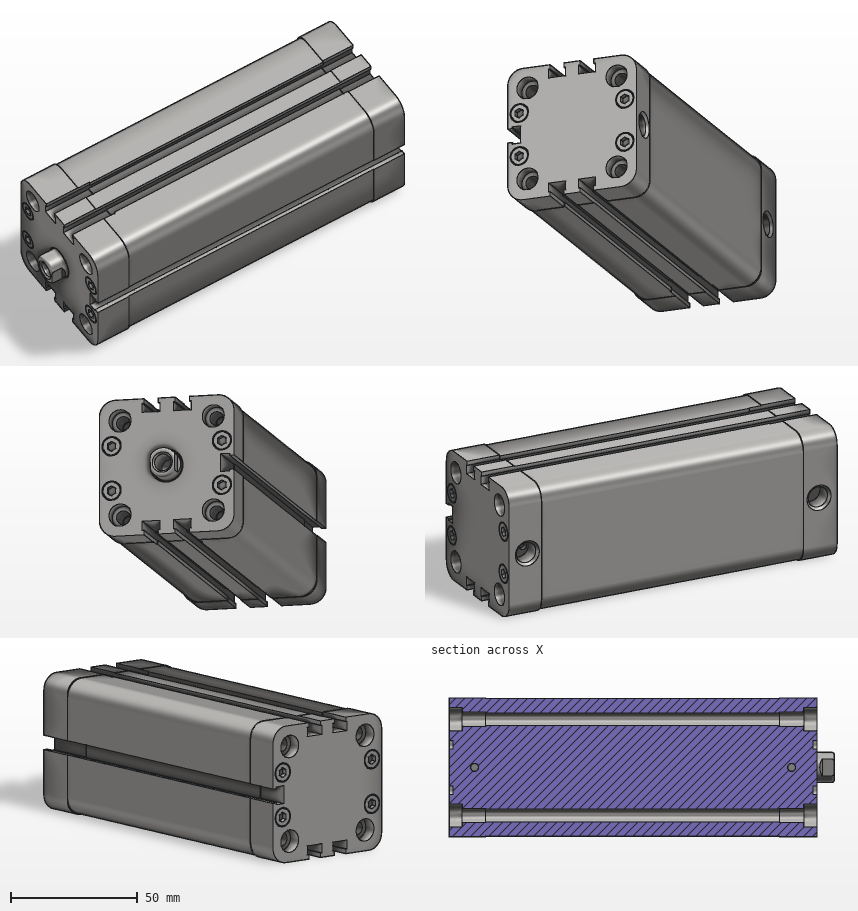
import cadquery as cq


SIDE = 54.9
TUBE_SIDE = 54.4
BODY_LENGTH = 145.2
FRONT_CAP_LENGTH = 14.9
REAR_CAP_LENGTH = 14.5
CAP_CORNER_RADIUS = 6.5
TUBE_CORNER_RADIUS = 7.0
TUBE_END = BODY_LENGTH - REAR_CAP_LENGTH

SLOT_OFFSET = 6.4
MOUTH_WIDTH = 5.8
UNDERCUT_WIDTH = 7.1
LIP_THICKNESS = 1.8
SLOT_DEPTH = 5.5
TUBE_SLOT_DEPTH = 5.0
TUBE_LIP_OVERHANG = 0.5
SLOT_ENTRY_LENGTH = 5.5
ENTRY_END = FRONT_CAP_LENGTH + SLOT_ENTRY_LENGTH

MOUNT_OFFSET = 19.0
MOUNT_BORE_DIAMETER = 9.0
MOUNT_BORE_DEPTH = 5.2
CAP_HOLE_DIAMETER = 5.5
TUBE_HOLE_DIAMETER = 4.9

SCREW_X = 22.5
SCREW_Z = 9.0
SCREW_RECESS_DIAMETER = 7.8
SCREW_HEAD_DIAMETER = 7.0
SCREW_GAP_DEPTH = 1.5
SOCKET_ACROSS_CORNERS = 4.0
SOCKET_DEPTH = 2.3

PORT_INSET = 8.0
PORT_DIAMETER = 8.5
PORT_CHAMFER = 1.0
PORT_DEPTH = 7.6
AIR_HOLE_DIAMETER = 3.0
AIR_HOLE_SHIFT = 2.0
AIR_HOLE_DEPTH = 2.3

ROD_DIAMETER = 12.0
ROD_LENGTH = 6.8
ROD_EDGE_RADIUS = 1.0
ROD_FLAT_WIDTH = 9.9
ROD_FLAT_LENGTH = 4.7
ROD_BORE_DIAMETER = 6.7
ROD_BORE_DEPTH = 12.2
ROD_BORE_CHAMFER = 0.8
DRILL_TIP_LENGTH = 2.0
GLAND_DIAMETER = 12.5
GLAND_CHAMFER = 0.5
GLAND_DEPTH = 1.5


def section(y):
    """Sketch plane across the rod axis at y, with local x = X, local y = Z and its normal along -Y."""
    return cq.Workplane(cq.Plane(origin=(0, y, 0), xDir=(1, 0, 0), normal=(0, -1, 0)))


def square_block(side, start, end, corner_radius):
    return section(start).rect(side, side).extrude(start - end).edges("|Y").fillet(corner_radius)


def cylinder(x, z, diameter, start, end):
    return section(start).center(x, z).circle(diameter / 2).extrude(start - end)


def slot_run(center, depth, start, end, outer_overhang=0):
    """T-slot in the +Z side; outer_overhang narrows the mouth on its side away from the middle."""
    top = SIDE / 2
    outward = 1 if center > 0 else -1
    mouth_center = center - outward * outer_overhang / 2
    mouth = (
        section(start)
        .center(mouth_center, top - depth / 2)
        .rect(MOUTH_WIDTH - outer_overhang, depth)
        .extrude(start - end)
    )
    undercut_height = depth - LIP_THICKNESS
    undercut = (
        section(start)
        .center(center, top - depth + undercut_height / 2)
        .rect(UNDERCUT_WIDTH, undercut_height)
        .extrude(start - end)
    )
    return mouth.union(undercut)


def sensor_slot(center, tube_overhang):
    """Full-length slot: wide through both caps and the entry, tighter along the tube."""
    entry = slot_run(center, SLOT_DEPTH, 0, ENTRY_END)
    tube = slot_run(center, TUBE_SLOT_DEPTH, ENTRY_END, TUBE_END, tube_overhang)
    exit_run = slot_run(center, SLOT_DEPTH, TUBE_END, BODY_LENGTH)
    return entry.union(tube).union(exit_run)


def mounting_hole(x, z):
    """Through hole, counterbored at both ends."""
    hole = cylinder(x, z, TUBE_HOLE_DIAMETER, 0, BODY_LENGTH)
    for face, inward, cap_length in ((0, 1, FRONT_CAP_LENGTH), (BODY_LENGTH, -1, REAR_CAP_LENGTH)):
        hole = hole.union(cylinder(x, z, CAP_HOLE_DIAMETER, face, face + inward * cap_length))
        hole = hole.union(cylinder(x, z, MOUNT_BORE_DIAMETER, face, face + inward * MOUNT_BORE_DEPTH))
    return hole


def screw_cut(x, z, face, inward):
    """Gap around a flush socket screw, together with its hexagon socket."""
    gap_end = face + inward * SCREW_GAP_DEPTH
    recess = cylinder(x, z, SCREW_RECESS_DIAMETER, face, gap_end)
    head = cylinder(x, z, SCREW_HEAD_DIAMETER, face, gap_end)
    socket = (
        section(face)
        .center(x, z)
        .transformed(rotate=(0, 0, 90))
        .polygon(6, SOCKET_ACROSS_CORNERS)
        .extrude(-inward * SOCKET_DEPTH)
    )
    return recess.cut(head).union(socket)


def air_port(y, toward_tube):
    """Chamfered port in the -X side, with a small air hole in its floor."""
    side_plane = cq.Plane(origin=(-SIDE / 2, y, 0), xDir=(0, 1, 0), normal=(1, 0, 0))
    port = cq.Workplane(side_plane).circle(PORT_DIAMETER / 2).extrude(PORT_DEPTH)
    mouth = (
        cq.Workplane(side_plane)
        .circle(PORT_DIAMETER / 2 + PORT_CHAMFER)
        .workplane(offset=PORT_CHAMFER)
        .circle(PORT_DIAMETER / 2)
        .loft()
    )
    air_hole = (
        cq.Workplane(side_plane)
        .center(toward_tube * AIR_HOLE_SHIFT, 0)
        .circle(AIR_HOLE_DIAMETER / 2)
        .extrude(PORT_DEPTH + AIR_HOLE_DEPTH)
    )
    return port.union(mouth).union(air_hole)


def revolve_about_rod_axis(points):
    """Revolve an (x, y) outline around the Y axis."""
    return cq.Workplane("XY").polyline(points).close().revolve(360, (0, 0, 0), (0, 1, 0))


def gland_cut():
    radius = GLAND_DIAMETER / 2
    return revolve_about_rod_axis(
        [
            (0, 0),
            (radius + GLAND_CHAMFER, 0),
            (radius, GLAND_CHAMFER),
            (radius, GLAND_DEPTH),
            (0, GLAND_DEPTH),
        ]
    )


def piston_rod():
    """Round-ended rod with two wrench flats that run out at 45 degrees."""
    rod = cylinder(0, 0, ROD_DIAMETER, -ROD_LENGTH, GLAND_DEPTH).faces("<Y").edges().fillet(ROD_EDGE_RADIUS)
    flat_x = ROD_FLAT_WIDTH / 2
    surface_x = ROD_DIAMETER / 2
    flat_end = ROD_FLAT_LENGTH - ROD_LENGTH
    runout_end = flat_end + surface_x - flat_x
    flat_cut = (
        cq.Workplane("XY")
        .moveTo(flat_x, -ROD_LENGTH)
        .lineTo(flat_x, flat_end)
        .lineTo(surface_x, runout_end)
        .lineTo(surface_x, -ROD_LENGTH)
        .close()
        .extrude(ROD_DIAMETER / 2, both=True)
    )
    return rod.cut(flat_cut).cut(flat_cut.mirror("YZ"))


def rod_bore():
    """Drilled bore with a chamfered mouth and a conical bottom."""
    radius = ROD_BORE_DIAMETER / 2
    mouth = -ROD_LENGTH
    bottom = mouth + ROD_BORE_DEPTH
    return revolve_about_rod_axis(
        [
            (0, mouth),
            (radius + ROD_BORE_CHAMFER, mouth),
            (radius, mouth + ROD_BORE_CHAMFER),
            (radius, bottom),
            (0, bottom + DRILL_TIP_LENGTH),
        ]
    )


result = square_block(TUBE_SIDE, FRONT_CAP_LENGTH, TUBE_END, TUBE_CORNER_RADIUS)
result = result.union(square_block(SIDE, 0, FRONT_CAP_LENGTH, CAP_CORNER_RADIUS))
result = result.union(square_block(SIDE, TUBE_END, BODY_LENGTH, CAP_CORNER_RADIUS))

for center in (-SLOT_OFFSET, SLOT_OFFSET):
    slot = sensor_slot(center, TUBE_LIP_OVERHANG)
    result = result.cut(slot).cut(slot.mirror("XY"))
result = result.cut(sensor_slot(0, 0).rotate((0, 0, 0), (0, 1, 0), 90))

for side_x in (-1, 1):
    for side_z in (-1, 1):
        result = result.cut(mounting_hole(side_x * MOUNT_OFFSET, side_z * MOUNT_OFFSET))
        for face, inward in ((0, 1), (BODY_LENGTH, -1)):
            result = result.cut(screw_cut(side_x * SCREW_X, side_z * SCREW_Z, face, inward))

result = result.cut(air_port(PORT_INSET, 1))
result = result.cut(air_port(BODY_LENGTH - PORT_INSET, -1))

result = result.cut(gland_cut()).union(piston_rod()).cut(rod_bore())